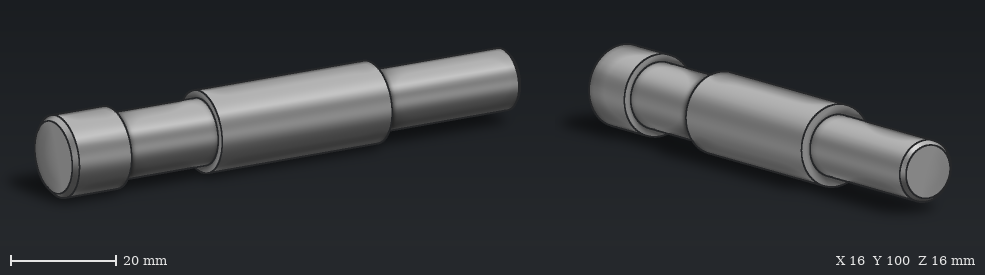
import cadquery as cq

total_length = 100.0
head_length = 12.5
neck_length = 20.0
shank_length = 30.0
body_length = total_length - head_length - neck_length - shank_length

body_diameter = 16.0
neck_diameter = 13.0
shank_diameter = 12.0

head_chamfer = 1.0
shank_chamfer = 0.85


def cylinder_along_y(start, length, diameter):
    """Solid cylinder on the Y axis, from start towards +Y."""
    plane = cq.Plane(origin=(0, start, 0), xDir=(1, 0, 0), normal=(0, 1, 0))
    return cq.Workplane(plane).circle(diameter / 2).extrude(length)


head_start = -total_length / 2
neck_start = head_start + head_length
body_start = neck_start + neck_length
shank_start = body_start + body_length

head = cylinder_along_y(head_start, head_length, body_diameter)
head = head.faces("<Y").chamfer(head_chamfer)

neck = cylinder_along_y(neck_start, neck_length, neck_diameter)
body = cylinder_along_y(body_start, body_length, body_diameter)

shank = cylinder_along_y(shank_start, shank_length, shank_diameter)
shank = shank.faces(">Y").chamfer(shank_chamfer)

result = head.union(neck).union(body).union(shank)